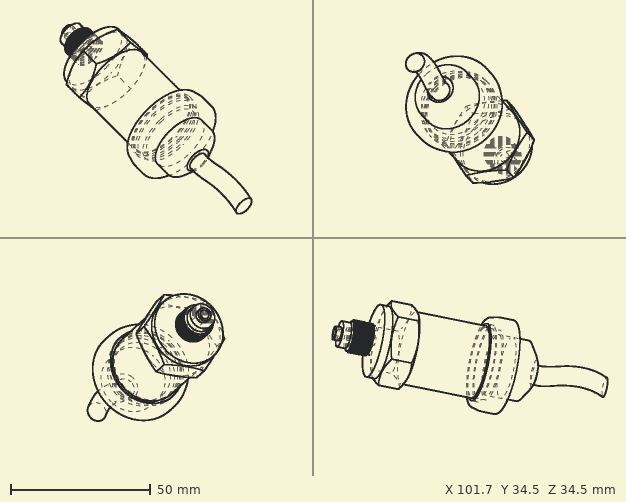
import cadquery as cq
import math

overall_length = 101.73

tip_dia = 5.0
tip_start = -14.75
nose_dia = 9.5
nose_start = -12.8
thread_dia = 11.88
thread_root_dia = 10.74
thread_pitch = 1.0
thread_flank_angle = 30.0
thread_root_width = thread_pitch / 8
groove_tool_height = 0.7
thread_start = -9.75
thread_end = -1.6
relief_dia = 10.5
relief_fillet = 0.8
port_dia = 3.3
port_depth = 15.0

barrel_dia = 26.5
barrel_end = 39.5
hex_flats = 27.0
hex_start = 3.0
hex_end = 13.2
hex_chamfer_angle = 30.0
spigot_dia = 25.53
spigot_end = 44.65

ring_dia = 34.5
ring_nose_dia = 32.25
ring_start = 39.75
ring_crown = 44.65
ring_end = 49.95
ring_front_fillet = 1.3
ring_rear_fillet = 1.2
ring_recess_dia = 28.2
ring_recess_depth = 2.0

cap_dia = 22.3
cap_shoulder = 56.3
cap_shoulder_fillet = 0.8
dome_radius = 30.0
cap_end = 60.4
cap_end_dia = 9.8

cable_dia = 7.2
cable_start_z = -0.65
cable_dip = (62.8, -0.8)
cable_rise = (69.75, 1.05)
cable_crest = (77.75, 2.45)
cable_end = (tip_start + overall_length, 0.05)


def revolve_about_x(profile):
    """Revolve a closed XY profile, drawn on the +Y side, about the X axis."""
    return profile.close().revolve(360, (0, 0, 0), (1, 0, 0))


def rod(start, end, diameter):
    """Cylinder along X between two axial positions."""
    return cq.Workplane("YZ", origin=(start, 0, 0)).circle(diameter / 2).extrude(end - start)


def make_thread():
    """Threaded sleeve with one helical V-groove and a 45 degree lead-in cone."""
    length = thread_end - thread_start
    root_radius = thread_root_dia / 2
    root_half_width = thread_root_width / 2
    top_half_width = root_half_width + groove_tool_height * math.tan(math.radians(thread_flank_angle))

    helix = cq.Wire.makeHelix(
        thread_pitch, length + 1.5 * thread_pitch, root_radius, center=cq.Vector(0, 0, -thread_pitch)
    )
    groove = (
        cq.Workplane("XZ", origin=(root_radius, 0, -thread_pitch))
        .moveTo(0, -root_half_width)
        .lineTo(0, root_half_width)
        .lineTo(groove_tool_height, top_half_width)
        .lineTo(groove_tool_height, -top_half_width)
        .close()
        .sweep(cq.Workplane(obj=helix), isFrenet=True)
    )

    nose_radius = nose_dia / 2
    envelope = (
        cq.Workplane("XZ")
        .lineTo(nose_radius, 0)
        .lineTo(nose_radius + length, length)
        .lineTo(0, length)
        .close()
        .revolve(360, (0, 0, 0), (0, 1, 0))
    )
    thread = cq.Workplane("XY").circle(thread_dia / 2).extrude(length).cut(groove).intersect(envelope)
    return thread.rotate((0, 0, 0), (0, 1, 0), 90).translate((thread_start, 0, 0))


def make_hexagon():
    """Hexagon with two flats facing up and down and its corners coned off at both ends."""
    corner_radius = hex_flats / math.sqrt(3)
    cone_length = (corner_radius - barrel_dia / 2) * math.tan(math.radians(hex_chamfer_angle))
    prism = (
        cq.Workplane("YZ", origin=(hex_start, 0, 0))
        .polygon(6, 2 * corner_radius)
        .extrude(hex_end - hex_start)
    )
    coned = revolve_about_x(
        cq.Workplane("XY")
        .moveTo(hex_start, 0)
        .lineTo(hex_start, barrel_dia / 2)
        .lineTo(hex_start + cone_length, corner_radius)
        .lineTo(hex_end - cone_length, corner_radius)
        .lineTo(hex_end, barrel_dia / 2)
        .lineTo(hex_end, 0)
    )
    return prism.intersect(coned)


def make_housing():
    """One-piece housing: port nose, thread, relief, barrel, hexagon and rear spigot."""
    relief_radius = relief_dia / 2
    neck = revolve_about_x(
        cq.Workplane("XY")
        .moveTo(thread_end, 0)
        .lineTo(thread_end, relief_radius)
        .lineTo(-relief_fillet, relief_radius)
        .radiusArc((0, relief_radius + relief_fillet), -relief_fillet)
        .lineTo(0, 0)
    )
    housing = (
        rod(0, barrel_end, barrel_dia)
        .union(neck)
        .union(make_hexagon())
        .union(rod(barrel_end, spigot_end, spigot_dia))
        .union(make_thread())
        .union(rod(nose_start, thread_start, nose_dia))
        .union(rod(tip_start, nose_start, tip_dia))
    )
    return housing.cut(rod(tip_start, tip_start + port_depth, port_dia))


def make_ring():
    """Clamp ring: crowned rim, bore over the spigot and a smaller bore around the cap."""
    outer_radius = ring_dia / 2
    nose_radius = ring_nose_dia / 2
    crown_length = ring_crown - ring_start
    crown_drop = outer_radius - nose_radius
    crown_radius = (crown_length**2 + crown_drop**2) / (2 * crown_drop)
    half_angle = math.asin(crown_length / crown_radius) / 2
    crown_middle = (
        ring_crown - crown_radius * math.sin(half_angle),
        outer_radius - crown_radius * (1 - math.cos(half_angle)),
    )
    recess_floor = ring_start + ring_recess_depth
    ring = revolve_about_x(
        cq.Workplane("XY")
        .moveTo(ring_start, ring_recess_dia / 2)
        .lineTo(ring_start, nose_radius)
        .threePointArc(crown_middle, (ring_crown, outer_radius))
        .lineTo(ring_end, outer_radius)
        .lineTo(ring_end, cap_dia / 2)
        .lineTo(spigot_end, cap_dia / 2)
        .lineTo(spigot_end, spigot_dia / 2)
        .lineTo(recess_floor, spigot_dia / 2)
        .lineTo(recess_floor, ring_recess_dia / 2)
    )
    ring = ring.faces("<X").edges(cq.selectors.RadiusNthSelector(-1)).fillet(ring_front_fillet)
    return ring.faces(">X").edges(cq.selectors.RadiusNthSelector(-1)).fillet(ring_rear_fillet)


def make_cap():
    """Cap seated on the spigot: a cylinder closed by a shallow dome with a rounded shoulder."""
    cap_radius = cap_dia / 2
    cap = revolve_about_x(
        cq.Workplane("XY")
        .moveTo(spigot_end, 0)
        .lineTo(spigot_end, cap_radius)
        .lineTo(cap_shoulder, cap_radius)
        .radiusArc((cap_end, cap_end_dia / 2), dome_radius)
        .lineTo(cap_end, 0)
    )
    shoulder = cap.edges(cq.selectors.RadiusNthSelector(1)).edges(">X")
    return shoulder.fillet(cap_shoulder_fillet)


def make_cable():
    """Round cable swept along its bend, every section staying square to the X axis."""
    path = cq.Workplane("XZ").spline(
        [(cap_end, cable_start_z), cable_dip, cable_rise, cable_crest, cable_end]
    )
    return (
        cq.Workplane("YZ", origin=(cap_end, 0, cable_start_z))
        .circle(cable_dia / 2)
        .sweep(path, normal=(1, 0, 0))
    )


housing = make_housing()
ring = make_ring()
cap = make_cap()
cable = make_cable()

result = cq.Compound.makeCompound([housing.val(), ring.val(), cap.val(), cable.val()])